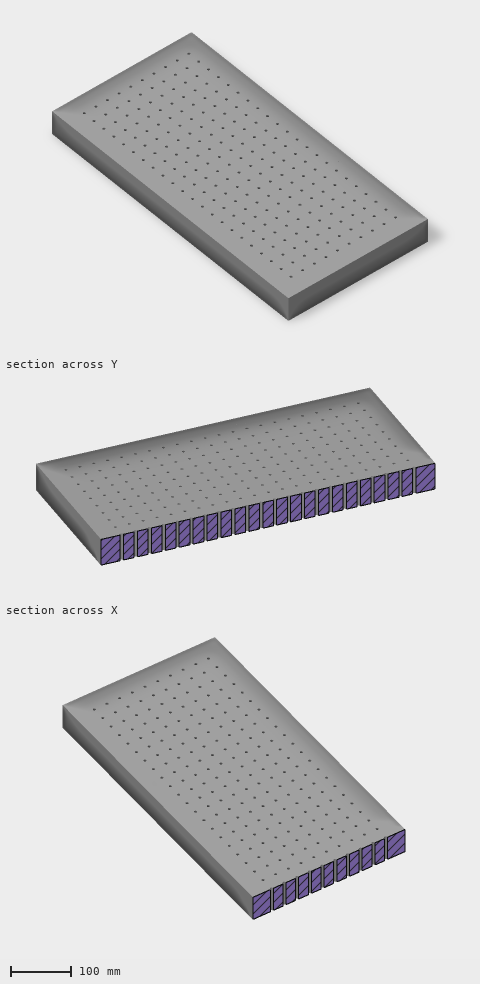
import cadquery as cq

length = 600.0
width = length / 2
thickness = length / 12

hole_columns = 22
hole_rows = 10
hole_pitch = length / 24
hole_diameter = hole_pitch / 5

plate = cq.Workplane("XY").box(length, width, thickness, centered=(True, True, False))

result = (
    plate.faces(">Z")
    .workplane()
    .rarray(hole_pitch, hole_pitch, hole_columns, hole_rows)
    .hole(hole_diameter)
)